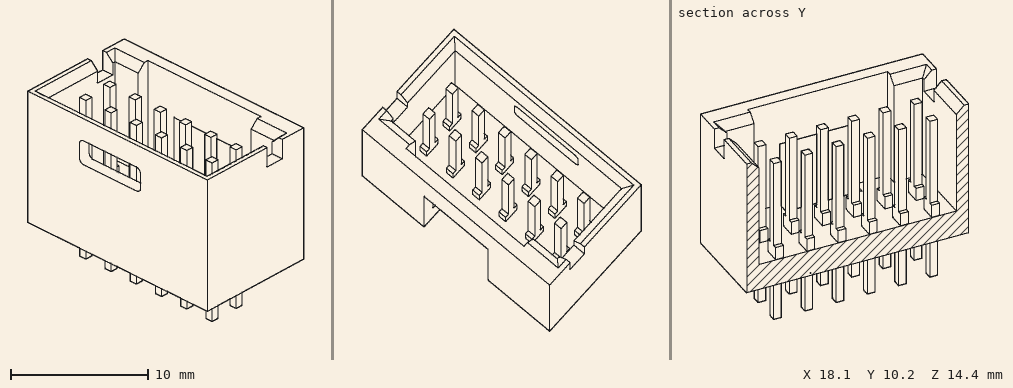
import cadquery as cq

HOUSING_LENGTH = 18.08
HOUSING_WIDTH = 10.16
HOUSING_HEIGHT = 11.18

THIN_WALL = 1.02
BACK_WALL = 2.03
FLOOR_THICKNESS = 2.2
MOUTH_CHAMFER = 0.635

KEY_LENGTH = 11.37
KEY_DEPTH = 1.02

WINDOW_LENGTH = 6.16
WINDOW_HEIGHT = 7.43

SLOT_LENGTH = 6.16
SLOT_HEIGHT = 2.03
SLOT_RADIUS = 0.43
SLOT_CENTER_X = -0.76
SLOT_CENTER_Z = 8.28

NOTCH_WIDTH = 1.59
NOTCH_DEPTH = 1.65
NOTCH_CENTER_Y = 2.02

PIN_PITCH = 2.54
PIN_COLUMNS = 6
PIN_ROWS = 2
PIN_SIZE = 0.635
PIN_TAIL = 3.17
PIN_TOP = 10.33
PIN_FIELD_CENTER_Y = -0.51
COLLAR_WIDTH = 2 * PIN_SIZE
COLLAR_HEIGHT = 1.05

FRONT_Y = -HOUSING_WIDTH / 2
BACK_Y = HOUSING_WIDTH / 2
CAVITY_LENGTH = HOUSING_LENGTH - 2 * THIN_WALL
CAVITY_FRONT_Y = FRONT_Y + THIN_WALL
CAVITY_BACK_Y = BACK_Y - BACK_WALL
CAVITY_WIDTH = CAVITY_BACK_Y - CAVITY_FRONT_Y
CAVITY_CENTER_Y = (CAVITY_FRONT_Y + CAVITY_BACK_Y) / 2
CAVITY_DEPTH = HOUSING_HEIGHT - FLOOR_THICKNESS


def block(length, width, height, center_x, center_y, bottom_z):
    """Box placed by the centre of its underside."""
    base = cq.Workplane("XY", origin=(center_x, center_y, bottom_z))
    return base.box(length, width, height, centered=(True, True, False))


def cavity():
    """Main pocket with a flared mouth."""
    pocket = block(CAVITY_LENGTH, CAVITY_WIDTH, CAVITY_DEPTH, 0, CAVITY_CENTER_Y, FLOOR_THICKNESS)
    mouth = (
        cq.Workplane("XY", origin=(0, CAVITY_CENTER_Y, HOUSING_HEIGHT - MOUTH_CHAMFER))
        .rect(CAVITY_LENGTH, CAVITY_WIDTH)
        .workplane(offset=MOUTH_CHAMFER)
        .rect(CAVITY_LENGTH + 2 * MOUTH_CHAMFER, CAVITY_WIDTH + 2 * MOUTH_CHAMFER)
        .loft(ruled=True)
    )
    return pocket.union(mouth)


def key_recess():
    """Wide recess in the back wall, from the floor to the top."""
    center_y = CAVITY_BACK_Y + KEY_DEPTH / 2
    return block(KEY_LENGTH, KEY_DEPTH, CAVITY_DEPTH, 0, center_y, FLOOR_THICKNESS)


def back_window():
    """Opening through the back wall and the floor beneath the key recess."""
    return block(WINDOW_LENGTH, BACK_WALL, WINDOW_HEIGHT, 0, BACK_Y - BACK_WALL / 2, 0)


def front_slot():
    """Slot with rounded corners through the front wall only."""
    slot = block(
        SLOT_LENGTH, THIN_WALL, SLOT_HEIGHT,
        SLOT_CENTER_X, FRONT_Y + THIN_WALL / 2, SLOT_CENTER_Z - SLOT_HEIGHT / 2,
    )
    return slot.edges("|Y").fillet(SLOT_RADIUS)


def end_notches():
    """One cut across the cavity that notches both end walls."""
    bottom_z = HOUSING_HEIGHT - NOTCH_DEPTH
    return block(HOUSING_LENGTH, NOTCH_WIDTH, NOTCH_DEPTH, 0, NOTCH_CENTER_Y, bottom_z)


def pin(x, y):
    """Square pin with its collar."""
    shaft = block(PIN_SIZE, PIN_SIZE, PIN_TAIL + PIN_TOP, x, y, -PIN_TAIL)
    collar = block(PIN_SIZE, COLLAR_WIDTH, COLLAR_HEIGHT, x, y, FLOOR_THICKNESS)
    return shaft.union(collar)


def housing():
    """Open-topped shell with all of its openings."""
    shell = block(HOUSING_LENGTH, HOUSING_WIDTH, HOUSING_HEIGHT, 0, 0, 0)
    for cutter in (cavity(), key_recess(), back_window(), front_slot(), end_notches()):
        shell = shell.cut(cutter)
    return shell


def place_in_line(index, count):
    """Position of one pin in a line of pins centred on zero."""
    return (index - (count - 1) / 2) * PIN_PITCH


result = housing()
for column in range(PIN_COLUMNS):
    for row in range(PIN_ROWS):
        pin_x = place_in_line(column, PIN_COLUMNS)
        pin_y = PIN_FIELD_CENTER_Y + place_in_line(row, PIN_ROWS)
        result = result.union(pin(pin_x, pin_y))